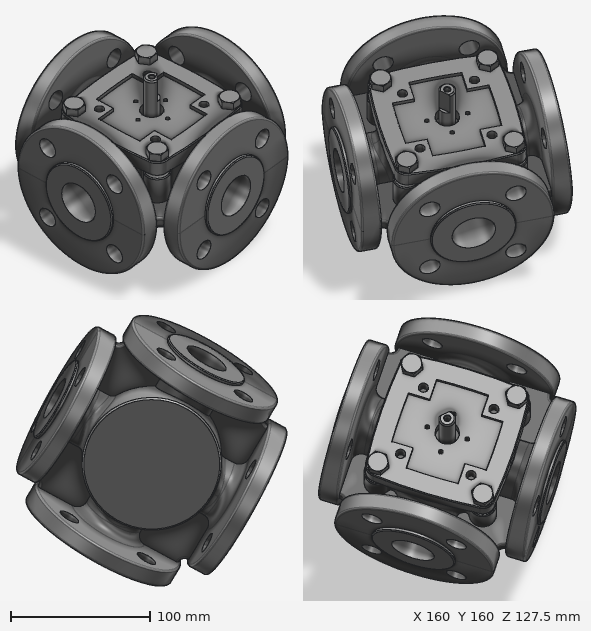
import cadquery as cq
import math

SPAN = 160.0

FLANGE_DIA = 120.0
FLANGE_THICKNESS = 15.4
FLANGE_DRAFT = 1.5
FLANGE_EDGE_RADIUS = 1.5
RAISED_FACE_DIA = 63.0
RAISED_FACE_HEIGHT = 2.0
RAISED_FACE_CHAMFER = 0.8
BORE_DIA = 32.0
NECK_DIA = 45.5
NECK_FILLET = 7.5
FLANGE_BOLT_CIRCLE = 90.0
FLANGE_HOLE_DIA = 15.0

BODY_DIA = 100.0
BODY_TOP = 28.5
BODY_BOTTOM = -32.0
SEAT_DIA = 92.8
SHOULDER_TOP = 26.7
BODY_BOTTOM_CHAMFER = 1.3
BODY_NECK_FILLET = 4.8
WEB_THICKNESS = 8.0
WEB_EDGE_RADIUS = 2.0
WEB_OVERLAP = 1.6
WEB_CORNER_RADIUS = 5.1

BOLT_OFFSET = 39.5
BOLT_SHANK_DIA = 10.0
BOLT_LENGTH = 25.6
BOLT_HEAD_FLATS = 14.4
BOLT_HEAD_HEIGHT = 6.4
BOLT_HEAD_FACE_DIA = 14.4
BOLT_HEAD_CHAMFER = 0.5
BOSS_DIA = 19.8
BOSS_TOP = 26.0
BOSS_CHAMFER = 0.8
BOSS_FILLET = 3.5

COVER_THICKNESS = 11.5
COVER_HALF_WIDTH = 50.4
COVER_CORNER_RADIUS = 9.0
COVER_CHAMFER = 0.8
RECESS_DEPTH = 3.0
RECESS_INSET = 14.4
RECESS_ARM_HALF_WIDTH = 19.5
STEM_OPENING_DIA = 17.3
MOUNT_HOLE_OFFSET = 26.5
MOUNT_HOLE_DIA = 7.0
RECESS_HOLE_OFFSET = 15.0
RECESS_HOLE_DIA = 3.2

STEM_DIA = 12.2
STEM_TOP = 67.5
STEM_BOTTOM = -6.7
STEM_CHAMFER = 1.1
STEM_FLAT_DISTANCE = 3.8
STEM_FLAT_LENGTH = 19.2
STEM_HOLE_DIA = 4.2
STEM_HOLE_DEPTH = 9.6
STEM_HOLE_CHAMFER = 0.5

FACE_PLANE = SPAN / 2
FLANGE_OUTER = FACE_PLANE - RAISED_FACE_HEIGHT
FLANGE_INNER = FLANGE_OUTER - FLANGE_THICKNESS
COVER_TOP = BODY_TOP + COVER_THICKNESS
PORT_ANGLES = [0, 90, 180, 270]
ROUNDED_NECK_ANGLES = [0, 90, 180]
BOLT_POINTS = [(sx * BOLT_OFFSET, sy * BOLT_OFFSET) for sx in (-1, 1) for sy in (-1, 1)]

side_to_bolt = COVER_HALF_WIDTH - BOLT_OFFSET
COVER_SIDE_RADIUS = (BOLT_OFFSET**2 + side_to_bolt**2 - COVER_CORNER_RADIUS**2) / (
    2 * (side_to_bolt - COVER_CORNER_RADIUS)
)


def upright_cylinder(diameter, bottom, top):
    return cq.Workplane("XY").workplane(offset=bottom).circle(diameter / 2).extrude(top - bottom)


def port_cylinder(diameter, start, end):
    """A cylinder on the +X port axis."""
    return cq.Workplane("YZ").workplane(offset=start).circle(diameter / 2).extrude(end - start)


def upper_flanged_neck():
    """Upper half of a neck and its flange on the +X axis; the flange faces close in going up."""
    reach = FLANGE_DIA
    lean = reach * math.tan(math.radians(FLANGE_DRAFT))
    wedge = (
        cq.Workplane("XZ")
        .polyline([
            (FLANGE_OUTER - lean, reach),
            (FLANGE_INNER + lean, reach),
            (FLANGE_INNER - lean, -reach),
            (FLANGE_OUTER + lean, -reach),
        ])
        .close()
        .extrude(reach, both=True)
    )
    disc = port_cylinder(FLANGE_DIA, 0, SPAN).intersect(wedge).edges("%ELLIPSE").fillet(FLANGE_EDGE_RADIUS)
    neck = port_cylinder(NECK_DIA, 0, FLANGE_INNER + FLANGE_THICKNESS / 2)
    neck_root = cq.selectors.BoxSelector(
        (FLANGE_INNER - 1.6, -NECK_DIA, -1.6),
        (FLANGE_INNER + 1.6, NECK_DIA, 1.6),
    )
    flanged_neck = disc.union(neck).edges(neck_root).fillet(NECK_FILLET)
    upper_half = cq.Workplane("XY").box(2 * SPAN, 2 * SPAN, SPAN, centered=(True, True, False))
    return flanged_neck.intersect(upper_half)


def port():
    """Neck, flange and raised face on the +X axis, without the bore."""
    upper = upper_flanged_neck()
    raised_face = (
        port_cylinder(RAISED_FACE_DIA, FLANGE_OUTER - FLANGE_THICKNESS / 2, FACE_PLANE)
        .faces(">X")
        .chamfer(RAISED_FACE_CHAMFER)
    )
    flange_holes = (
        cq.Workplane("YZ")
        .workplane(offset=FLANGE_INNER)
        .polarArray(FLANGE_BOLT_CIRCLE / 2, 45, 360, 4)
        .circle(FLANGE_HOLE_DIA / 2)
        .extrude(FACE_PLANE - FLANGE_INNER)
    )
    return upper.union(upper.mirror("XY")).union(raised_face).cut(flange_holes)


def web():
    """Flat plate joining the flanges, with a rounded notch at each corner."""
    corner = FLANGE_INNER
    plate_side = 2 * (FLANGE_INNER + WEB_OVERLAP)
    notches = (
        cq.Workplane("XY")
        .rect(2 * corner, 2 * corner, forConstruction=True)
        .vertices()
        .circle(WEB_CORNER_RADIUS)
        .extrude(WEB_THICKNESS, both=True)
    )
    square = cq.Workplane("XY").box(plate_side, plate_side, WEB_THICKNESS)
    notch_edges = cq.selectors.RadiusNthSelector(0)
    return square.cut(notches).faces("|Z").edges(notch_edges).fillet(WEB_EDGE_RADIUS)


def is_boss_corner(edge):
    """True for the edges where a boss meets the body wall; the seam of the wall lies on the X axis."""
    middle = edge.positionAt(0.5)
    on_wall = abs(math.hypot(middle.x, middle.y) - BODY_DIA / 2) < BOSS_CHAMFER
    return on_wall and abs(middle.y) > BOSS_DIA / 2


def bossed_body():
    """Upright cylinder with the four bolt bosses blended into its wall."""
    body = upright_cylinder(BODY_DIA, BODY_BOTTOM, BODY_TOP).faces("<Z").chamfer(BODY_BOTTOM_CHAMFER)
    bosses = (
        cq.Workplane("XY")
        .pushPoints(BOLT_POINTS)
        .circle(BOSS_DIA / 2)
        .extrude(BOSS_TOP)
        .faces(">Z")
        .chamfer(BOSS_CHAMFER)
    )
    corners = body.union(bosses).edges("|Z").filter(is_boss_corner)
    return corners.fillet(BOSS_FILLET)


def add_necks(body):
    """Add the necks that run into the body through a rounded corner."""
    for angle in ROUNDED_NECK_ANGLES:
        neck = port_cylinder(NECK_DIA, BODY_DIA / 4, FLANGE_INNER)
        root = cq.selectors.BoxSelector(
            (BODY_DIA / 4 + 1.6, -NECK_DIA / 2 + 1.6, -NECK_DIA / 2 + 1.6),
            (BODY_DIA / 2 - 1.6, NECK_DIA / 2 - 1.6, NECK_DIA / 2 - 1.6),
        )
        turned = body.rotate((0, 0, 0), (0, 0, 1), -angle)
        turned = turned.union(neck).edges(root).fillet(BODY_NECK_FILLET)
        body = turned.rotate((0, 0, 0), (0, 0, 1), angle)
    return body


def build_housing():
    housing = add_necks(bossed_body())
    shoulder_cutter = (
        cq.Workplane("XY")
        .workplane(offset=SHOULDER_TOP)
        .circle(BODY_DIA)
        .circle(SEAT_DIA / 2)
        .extrude(BODY_TOP)
    )
    housing = housing.cut(shoulder_cutter)

    one_port = port()
    for angle in PORT_ANGLES:
        housing = housing.union(one_port.rotate((0, 0, 0), (0, 0, 1), angle))
    housing = housing.union(web())

    bore = port_cylinder(BORE_DIA, -FACE_PLANE, FACE_PLANE)
    crossing_bores = bore.union(bore.rotate((0, 0, 0), (0, 0, 1), 90))
    stem_hole = upright_cylinder(STEM_DIA, 0, BODY_TOP)
    bolt_bottom = COVER_TOP - BOLT_LENGTH
    bolt_holes = (
        cq.Workplane("XY")
        .workplane(offset=bolt_bottom)
        .pushPoints(BOLT_POINTS)
        .circle(BOLT_SHANK_DIA / 2)
        .extrude(BOLT_LENGTH)
    )
    return housing.cut(crossing_bores.union(stem_hole)).cut(bolt_holes)


def side_height(x, half_width, radius):
    """Height of a bulged side at x, where half_width is its height in the middle."""
    return half_width - radius + math.sqrt(radius**2 - x**2)


def cover_outline():
    """Square with bulged sides running tangent into the corner arcs."""
    side_centre = COVER_HALF_WIDTH - COVER_SIDE_RADIUS
    lean = math.atan2(BOLT_OFFSET, BOLT_OFFSET - side_centre)
    tangent_x = COVER_SIDE_RADIUS * math.sin(lean)
    tangent_y = side_centre + COVER_SIDE_RADIUS * math.cos(lean)
    tip = BOLT_OFFSET + COVER_CORNER_RADIUS * math.sqrt(0.5)
    return (
        cq.Workplane("XY")
        .workplane(offset=BODY_TOP)
        .moveTo(-tangent_x, tangent_y)
        .threePointArc((0, COVER_HALF_WIDTH), (tangent_x, tangent_y))
        .threePointArc((tip, tip), (tangent_y, tangent_x))
        .threePointArc((COVER_HALF_WIDTH, 0), (tangent_y, -tangent_x))
        .threePointArc((tip, -tip), (tangent_x, -tangent_y))
        .threePointArc((0, -COVER_HALF_WIDTH), (-tangent_x, -tangent_y))
        .threePointArc((-tip, -tip), (-tangent_y, -tangent_x))
        .threePointArc((-COVER_HALF_WIDTH, 0), (-tangent_y, tangent_x))
        .threePointArc((-tip, tip), (-tangent_x, tangent_y))
        .close()
    )


def recess_bar():
    """One bar of the cross-shaped recess, lying along Y, with ends parallel to the cover sides."""
    half = RECESS_ARM_HALF_WIDTH
    reach = COVER_HALF_WIDTH - RECESS_INSET
    corner = side_height(half, reach, COVER_SIDE_RADIUS - RECESS_INSET)
    return (
        cq.Workplane("XY")
        .workplane(offset=COVER_TOP - RECESS_DEPTH)
        .moveTo(-half, corner)
        .threePointArc((0, reach), (half, corner))
        .lineTo(half, -corner)
        .threePointArc((0, -reach), (-half, -corner))
        .close()
        .extrude(RECESS_DEPTH)
    )


def build_cover():
    cover = cover_outline().extrude(COVER_THICKNESS).faces(">Z").chamfer(COVER_CHAMFER)
    bar = recess_bar()
    cover = cover.cut(bar).cut(bar.rotate((0, 0, 0), (0, 0, 1), 90))
    holes = (
        cq.Workplane("XY")
        .workplane(offset=BODY_TOP)
        .circle(STEM_OPENING_DIA / 2)
        .pushPoints(BOLT_POINTS)
        .circle(BOLT_SHANK_DIA / 2)
        .extrude(COVER_THICKNESS)
    )
    mount_holes = (
        cq.Workplane("XY")
        .workplane(offset=BODY_TOP)
        .rect(2 * MOUNT_HOLE_OFFSET, 2 * MOUNT_HOLE_OFFSET, forConstruction=True)
        .vertices()
        .circle(MOUNT_HOLE_DIA / 2)
        .extrude(COVER_THICKNESS)
    )
    recess_holes = (
        cq.Workplane("XY")
        .workplane(offset=BODY_TOP)
        .polarArray(RECESS_HOLE_OFFSET, 0, 360, 4)
        .circle(RECESS_HOLE_DIA / 2)
        .extrude(COVER_THICKNESS)
    )
    return cover.cut(holes).cut(mount_holes).cut(recess_holes)


def build_stem():
    stem = upright_cylinder(STEM_DIA, STEM_BOTTOM, STEM_TOP).faces(">Z").chamfer(STEM_CHAMFER)
    flat_cutter = (
        cq.Workplane("XY")
        .box(STEM_DIA, STEM_DIA, STEM_FLAT_LENGTH, centered=(False, True, False))
        .translate((STEM_FLAT_DISTANCE, 0, STEM_TOP - STEM_FLAT_LENGTH))
        .rotate((0, 0, 0), (0, 0, 1), 45)
    )
    hole = upright_cylinder(STEM_HOLE_DIA, STEM_TOP - STEM_HOLE_DEPTH, STEM_TOP)
    stem = stem.cut(flat_cutter).cut(hole)
    hole_rim = cq.selectors.RadiusNthSelector(0)
    return stem.faces(">Z").edges(hole_rim).chamfer(STEM_HOLE_CHAMFER)


def build_bolt(x, y):
    """Hexagon bolt with two corners of its head pointing along Y."""
    corner_dia = BOLT_HEAD_FLATS / math.cos(math.pi / 6)
    head = (
        cq.Workplane("XY")
        .polygon(6, corner_dia)
        .extrude(BOLT_HEAD_HEIGHT)
        .rotate((0, 0, 0), (0, 0, 1), 90)
    )
    turned = (
        cq.Workplane("XY")
        .circle(corner_dia / 2)
        .extrude(BOLT_HEAD_HEIGHT)
        .faces(">Z")
        .chamfer(BOLT_HEAD_CHAMFER, (corner_dia - BOLT_HEAD_FACE_DIA) / 2)
    )
    shank = upright_cylinder(BOLT_SHANK_DIA, -BOLT_LENGTH, 0)
    return head.intersect(turned).union(shank).translate((x, y, COVER_TOP))


housing = build_housing()
cover = build_cover()
stem = build_stem()
bolts = [build_bolt(x, y) for x, y in BOLT_POINTS]

result = cq.Compound.makeCompound([
    housing.val(),
    cover.val(),
    stem.val(),
    *[bolt.val() for bolt in bolts],
])